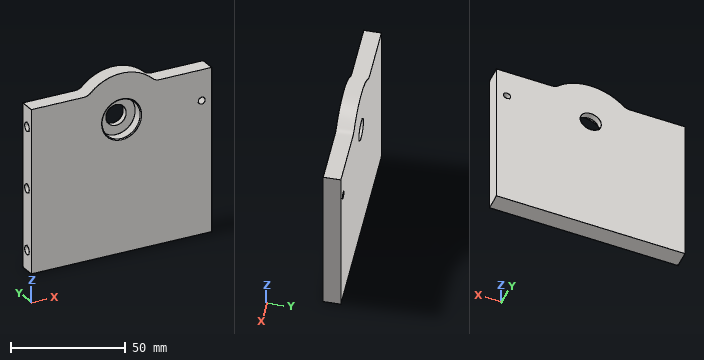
import cadquery as cq
import math

width = 90.0
height = 80.0
thickness = 8.0
front_y = -thickness / 2

bore_z = 65.0
hump_radius = 22.5
blend_radius = 5.0

bore_diameter = 10.0
seat_diameter = 19.0
seat_depth = 5.0
seat_chamfer = 0.45

pin_hole_diameter = 3.3
pin_hole_x = 40.0

edge_hole_diameter = 4.2
edge_hole_depth = 10.0
lowest_edge_hole_z = 10.0
edge_hole_pitch = 30.0
edge_hole_count = 3
drill_point_angle = 118.0


def plate_body():
    """Plate whose top edge flows through concave blends into the hump."""
    blend_center_z = height + blend_radius
    center_distance = hump_radius + blend_radius
    blend_x = math.sqrt(center_distance**2 - (blend_center_z - bore_z) ** 2)
    hump_share = hump_radius / center_distance
    hump_end_x = blend_x * hump_share
    hump_end_z = bore_z + (blend_center_z - bore_z) * hump_share
    return (
        cq.Workplane("XZ", origin=(0, thickness / 2, 0))
        .moveTo(-width / 2, 0)
        .lineTo(width / 2, 0)
        .lineTo(width / 2, height)
        .lineTo(blend_x, height)
        .radiusArc((hump_end_x, hump_end_z), blend_radius)
        .threePointArc((0, bore_z + hump_radius), (-hump_end_x, hump_end_z))
        .radiusArc((-blend_x, height), blend_radius)
        .lineTo(-width / 2, height)
        .close()
        .extrude(thickness)
    )


def front_hole(x, diameter, depth):
    """Cylinder at bore height, cut from the front face toward +Y."""
    return (
        cq.Workplane("XZ", origin=(x, front_y, bore_z))
        .circle(diameter / 2)
        .extrude(-depth)
    )


def seat_lead_in():
    """Cone that breaks the mouth of the bearing seat at 45 degrees."""
    seat_radius = seat_diameter / 2
    return cq.Workplane(
        cq.Solid.makeCone(
            seat_radius + seat_chamfer,
            seat_radius,
            seat_chamfer,
            pnt=cq.Vector(0, front_y, bore_z),
            dir=cq.Vector(0, 1, 0),
        )
    )


def edge_hole(z):
    """Drilled hole with a conical bottom, entering from the -X edge."""
    radius = edge_hole_diameter / 2
    point_length = radius / math.tan(math.radians(drill_point_angle / 2))
    mouth_x = -width / 2
    bottom_x = mouth_x + edge_hole_depth
    return (
        cq.Workplane("XY", origin=(0, 0, z))
        .moveTo(mouth_x, 0)
        .lineTo(mouth_x, radius)
        .lineTo(bottom_x, radius)
        .lineTo(bottom_x + point_length, 0)
        .close()
        .revolve(360, (0, 0, 0), (1, 0, 0))
    )


result = plate_body()
result = result.cut(front_hole(0, bore_diameter, thickness))
result = result.cut(front_hole(0, seat_diameter, seat_depth))
result = result.cut(seat_lead_in())
result = result.cut(front_hole(pin_hole_x, pin_hole_diameter, thickness))
for index in range(edge_hole_count):
    result = result.cut(edge_hole(lowest_edge_hole_z + index * edge_hole_pitch))